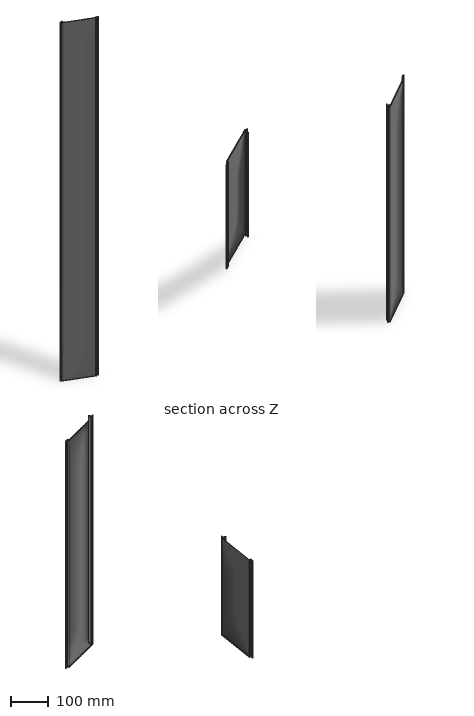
import cadquery as cq

length = 1000.0
width = 114.0
depth = 12.0

wall = 1.5

face_x = depth / 2
web_back_x = face_x - wall
hook_x = -depth / 2
flange_set_back = 4.0
flange_face_x = face_x - flange_set_back
flange_back_x = flange_face_x - wall

top_y = width / 2
shoulder_y = top_y - 8.0
jog_start_y = shoulder_y - wall
jog_run = 1.4
bead_start_y = top_y - 3.0
bead_width = 3.0
bead_height = 0.3

bottom_y = -width / 2
nose_y = bottom_y + 3.0
nose_radius = 3.5
hook_wall = 1.0
hook_arm_y = bottom_y + 6.7
hook_tip_y = hook_arm_y + 3.6
hook_radius = 2.2


def extrude(profile):
    """Run a closed XY profile over the full length, centred on Z = 0."""
    return profile.extrude(length / 2, both=True)


def bar(x_min, x_max, y_min, y_max):
    """Full-length wall with a rectangular cross-section."""
    centre = ((x_min + x_max) / 2, (y_min + y_max) / 2)
    return extrude(cq.Workplane("XY").center(*centre).rect(x_max - x_min, y_max - y_min))


def top_edge():
    """Set-back flange with a locking bead, joined to the web by a sloped jog."""
    outline = [
        (flange_back_x, top_y),
        (flange_face_x, top_y),
        (flange_face_x, shoulder_y),
        (face_x, shoulder_y),
        (face_x, jog_start_y - jog_run),
        (web_back_x, jog_start_y - jog_run),
        (flange_back_x, jog_start_y),
    ]
    bead = bar(flange_back_x - bead_height, flange_face_x, bead_start_y - bead_width, bead_start_y)
    return extrude(cq.Workplane("XY").polyline(outline).close()).union(bead)


def nose():
    """Lower end of the web, rounded towards the face and closed onto the lower flange."""
    return extrude(
        cq.Workplane("XY")
        .moveTo(flange_back_x, nose_y)
        .lineTo(face_x - nose_radius, nose_y)
        .radiusArc((face_x, nose_y + nose_radius), -nose_radius)
        .lineTo(web_back_x, nose_y + nose_radius)
        .radiusArc((face_x - nose_radius, nose_y + wall), nose_radius - wall)
        .lineTo(flange_back_x, nose_y + wall)
        .close()
    )


def hook():
    """Arm standing off the lower flange, with a rounded corner and an upturned tip."""
    return extrude(
        cq.Workplane("XY")
        .moveTo(flange_face_x, hook_arm_y)
        .lineTo(hook_x + hook_radius, hook_arm_y)
        .radiusArc((hook_x, hook_arm_y + hook_radius), hook_radius)
        .lineTo(hook_x, hook_tip_y)
        .lineTo(hook_x + hook_wall, hook_tip_y)
        .lineTo(hook_x + hook_wall, hook_arm_y + hook_radius)
        .radiusArc((hook_x + hook_radius, hook_arm_y + hook_wall), hook_wall - hook_radius)
        .lineTo(flange_face_x, hook_arm_y + hook_wall)
        .close()
    )


web = bar(web_back_x, face_x, nose_y + nose_radius, shoulder_y)
bottom_flange = bar(flange_back_x, flange_face_x, bottom_y, hook_tip_y)

result = web.union(top_edge()).union(bottom_flange).union(nose()).union(hook())